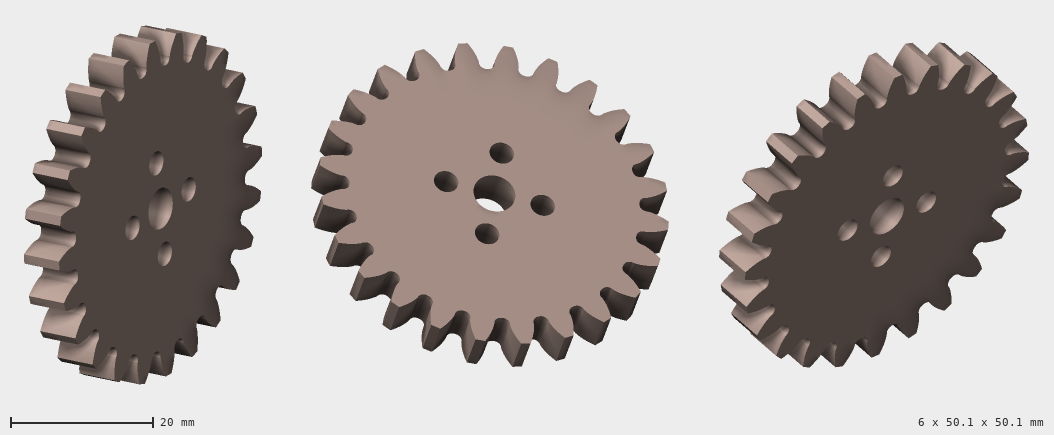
import cadquery as cq
import math

outer_span = 50.1
face_width = 6.0
tooth_count = 24
pitch_diameter = 46.3
pressure_angle = math.radians(20)
root_radius = 20.85
root_land = 0.2
tooth_angle = -4.6
bore_diameter = 6.0
bolt_hole_diameter = 3.5
bolt_hole_count = 4
bolt_circle_radius = 7.0
bolt_hole_angle = -8.6
flank_end_radius = 24.9
flank_steps = 4

pitch_radius = pitch_diameter / 2
module = pitch_diameter / tooth_count
base_radius = pitch_radius * math.cos(pressure_angle)
tooth_pitch = 2 * math.pi / tooth_count


def involute(angle):
    return math.tan(angle) - angle


def tooth_half_angle(radius):
    """Half of the angle that a tooth spans at a radius on its involute flanks."""
    roll = involute(math.acos(base_radius / radius))
    return tooth_pitch / 4 + involute(pressure_angle) - roll


def polar(radius, angle):
    return (radius * math.cos(angle), radius * math.sin(angle))


nominal_tip_radius = pitch_radius + module
corner_angle = abs(math.radians(tooth_angle)) - tooth_half_angle(nominal_tip_radius)
tip_radius = outer_span / 2 / math.cos(corner_angle)


roll_step = math.sqrt((flank_end_radius / base_radius) ** 2 - 1) / flank_steps


def flank_point(centre, side, steps):
    """Point on a flank at a number of roll steps from the base circle."""
    radius = base_radius * math.hypot(1, steps * roll_step)
    return polar(radius, centre + side * tooth_half_angle(radius))


flank_start_x, flank_start_y = flank_point(-tooth_pitch / 2, 1, 1)
rounding_width = abs(flank_start_y) - root_land / 2
rounding_depth = flank_start_x - root_radius
gap_rounding = (rounding_width**2 + rounding_depth**2) / (2 * rounding_depth)
land_corner_radius = math.hypot(root_radius, root_land / 2)
land_half_angle = math.atan2(root_land / 2, root_radius)


def add_tooth(outline, centre):
    """Add a tooth and the rounded gap after it, going counter-clockwise."""
    for step in range(1, flank_steps):
        middle = flank_point(centre, -1, step + 0.5)
        outline = outline.threePointArc(middle, flank_point(centre, -1, step + 1))

    tip_half_angle = tooth_half_angle(tip_radius)
    outline = outline.lineTo(*polar(tip_radius, centre - tip_half_angle))
    outline = outline.lineTo(*polar(tip_radius, centre + tip_half_angle))
    outline = outline.lineTo(*flank_point(centre, 1, flank_steps))

    for step in range(flank_steps - 1, 0, -1):
        middle = flank_point(centre, 1, step + 0.5)
        outline = outline.threePointArc(middle, flank_point(centre, 1, step))

    gap_centre = centre + tooth_pitch / 2
    outline = outline.radiusArc(polar(land_corner_radius, gap_centre - land_half_angle), gap_rounding)
    outline = outline.lineTo(*polar(land_corner_radius, gap_centre + land_half_angle))
    return outline.radiusArc(flank_point(centre + tooth_pitch, -1, 1), gap_rounding)


gear_plane = cq.Plane(origin=(face_width / 2, 0, 0), xDir=(0, -1, 0), normal=(-1, 0, 0))

first_centre = math.radians(tooth_angle)
outline = cq.Workplane(gear_plane).moveTo(*flank_point(first_centre, -1, 1))
for tooth in range(tooth_count):
    outline = add_tooth(outline, first_centre + tooth * tooth_pitch)
gear = outline.close().extrude(face_width)

bore = cq.Workplane(gear_plane).circle(bore_diameter / 2).extrude(face_width)
bolt_holes = (
    cq.Workplane(gear_plane)
    .polarArray(bolt_circle_radius, bolt_hole_angle, 360, bolt_hole_count)
    .circle(bolt_hole_diameter / 2)
    .extrude(face_width)
)

result = gear.cut(bore).cut(bolt_holes)